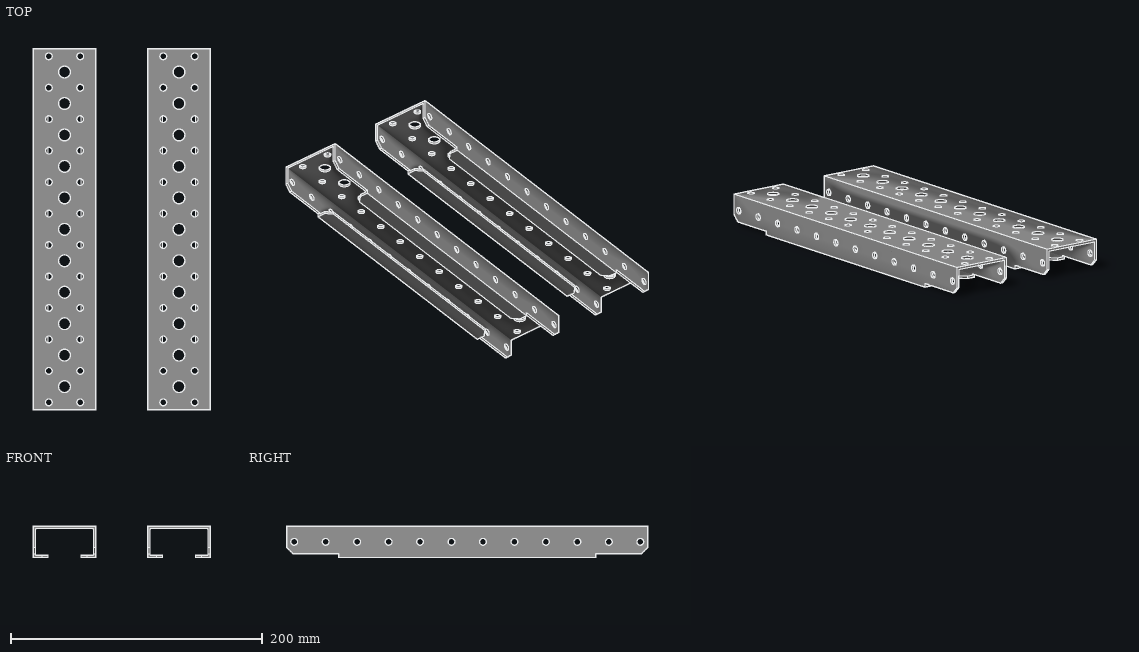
import cadquery as cq

length = 287.0
width = 50.0
height = 25.0
thickness = 2.0
lip_width = 12.0
inner_bend_radius = 0.5

lip_setback = 41.25
end_wall_rise = 3.0
wall_corner_chamfer = 5.0
lip_corner_chamfer = 5.0

hole_pitch = 25.0
small_hole_count = 12
small_hole_diameter = 5.2
large_hole_diameter = 9.2
wall_hole_height = height / 2

overall_width = 140.97
channel_spacing = overall_width - width


def lip_gap():
    """Opening between the lips, flaring at each end to chamfer the lip corners."""
    half_gap = width / 2 - lip_width
    half_flare = half_gap + lip_corner_chamfer
    lip_end = length / 2 - lip_setback
    quarter = [
        (half_gap, lip_end - lip_corner_chamfer),
        (half_flare, lip_end),
        (half_flare, length / 2),
    ]
    right_side = [(x, -y) for x, y in reversed(quarter)] + quarter
    left_side = [(-x, -y) for x, y in right_side]
    return cq.Workplane("XY").polyline(right_side + left_side).close().extrude(thickness)


def bent_section():
    """Sheet bent into a channel with inward lips, centred in X and Y, bottom at Z = 0."""
    outside = cq.Workplane("XY").box(width, length, height, centered=(True, True, False))
    inside = (
        cq.Workplane("XY")
        .workplane(offset=thickness)
        .box(width - 2 * thickness, length, height - 2 * thickness, centered=(True, True, False))
        .edges("|Y")
        .fillet(inner_bend_radius)
    )
    return outside.cut(inside).cut(lip_gap())


def side_outline():
    """Side shape: chamfered, raised wall ends with the lips only in the middle stretch."""
    upper = (
        cq.Workplane("XY")
        .workplane(offset=end_wall_rise)
        .box(width, length, height - end_wall_rise, centered=(True, True, False))
        .edges("|X and <Z")
        .chamfer(wall_corner_chamfer)
    )
    lower = cq.Workplane("XY").box(
        width, length - 2 * lip_setback, height, centered=(True, True, False)
    )
    return upper.union(lower)


def web_holes():
    """Two rows of small holes with a row of large holes midway between them."""
    web = cq.Workplane("XY").workplane(offset=height - thickness)
    small = (
        web.rarray(hole_pitch, hole_pitch, 2, small_hole_count)
        .circle(small_hole_diameter / 2)
        .extrude(thickness)
    )
    large = (
        web.rarray(hole_pitch, hole_pitch, 1, small_hole_count - 1)
        .circle(large_hole_diameter / 2)
        .extrude(thickness)
    )
    return small.vals() + large.vals()


def wall_holes():
    """One row of small holes passing through both side walls."""
    bores = (
        cq.Workplane("YZ", origin=(0, 0, wall_hole_height))
        .rarray(hole_pitch, hole_pitch, small_hole_count, 1)
        .circle(small_hole_diameter / 2)
        .extrude(width / 2, both=True)
    )
    return bores.vals()


def perforated_channel(center_x):
    """One complete channel, moved sideways to center_x."""
    channel = bent_section().intersect(side_outline())
    for holes in web_holes() + wall_holes():
        channel = channel.cut(cq.Workplane(holes))
    return channel.translate((center_x, 0, 0))


channels = [perforated_channel(side * channel_spacing / 2) for side in (-1, 1)]

result = cq.Compound.makeCompound([channel.val() for channel in channels])